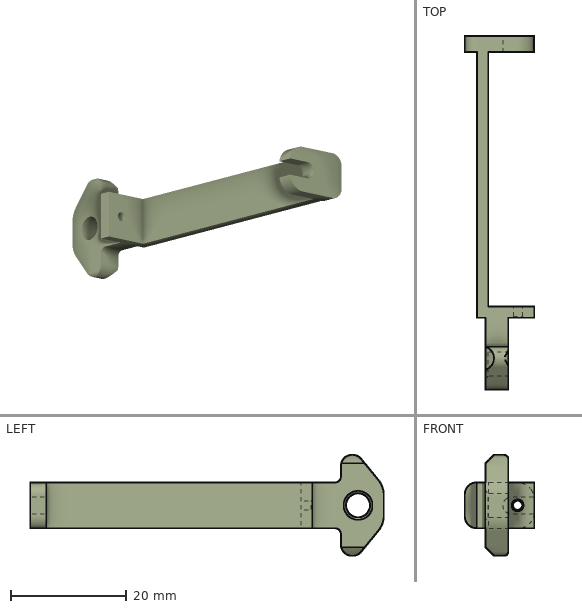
import cadquery as cq
import math

length = 61.5
width = 12.1
height = 8.0

wall = 2.0
hook_reach = 2.1
far_flange = 2.8
hook_radius = hook_reach
prong_radius = 3.0
near_flange_y = 12.5

screw_inset = 2.9
screw_x = width - screw_inset
screw_diameter = 1.57
screw_chamfer = 0.25
slot_width = 2.9
slot_depth = 5.5

head_step = 1.5
head_thickness = 4.0
head_x = hook_reach + head_step
head_height = 17.6
head_depth = 7.5
nose_half_flat = 1.75
nose_radius = 4.2
ear_radius = 2.0
neck_fillet = 1.0
outer_ear_chamfer = 1.5
inner_ear_radius = 0.8
pivot_y = 4.5
pivot_diameter = 4.13
pivot_chamfer = 0.45


def box(x_start, x_end, y_start, y_end, z_half):
    """Box given by its X and Y limits, centred on Z = 0."""
    size_x = x_end - x_start
    size_y = y_end - y_start
    block = cq.Workplane("XY").box(size_x, size_y, 2 * z_half, centered=(False, False, True))
    return block.translate((x_start, y_start, 0))


def make_far_flange():
    """Rounded end plate with a round-ended slot open toward +X."""
    y_start = length - far_flange
    plate = box(0, width, y_start, length, height / 2)
    plate = plate.edges("|Y and <X").fillet(hook_radius)
    plate = plate.edges("|Y and >X").fillet(prong_radius)
    slot_end_x = width - slot_depth + slot_width / 2
    slot = box(slot_end_x, width, y_start, length, slot_width / 2)
    slot_end = (
        cq.Workplane("XZ", origin=(slot_end_x, length, 0))
        .circle(slot_width / 2)
        .extrude(far_flange)
    )
    return plate.cut(slot).cut(slot_end)


def make_near_flange():
    """Square plate with a chamfered screw hole along Y."""
    plate = box(hook_reach, width, near_flange_y, near_flange_y + wall, height / 2)
    hole = (
        cq.Workplane("XZ", origin=(screw_x, near_flange_y + wall, 0))
        .circle(screw_diameter / 2)
        .extrude(wall)
    )
    plate = plate.cut(hole)
    return plate.faces("<Y").edges("%CIRCLE").chamfer(screw_chamfer)


def head_outline():
    """Closed head profile in the YZ plane, with the neck running to the near flange."""
    ear_y = head_depth - ear_radius
    ear_z = head_height / 2 - ear_radius

    center_dy = ear_y - nose_radius
    center_dz = ear_z - nose_half_flat
    center_distance = math.hypot(center_dy, center_dz)
    slope = math.asin((nose_radius - ear_radius) / center_distance) + math.atan2(center_dy, center_dz)

    def nose_point(angle):
        y = nose_radius * (1 - math.cos(angle))
        return (y, nose_half_flat + nose_radius * math.sin(angle))

    def ear_point(angle):
        return (ear_y - ear_radius * math.cos(angle), ear_z + ear_radius * math.sin(angle))

    def mirrored(point):
        return (point[0], -point[1])

    ear_middle = ear_point((slope + math.pi) / 2)
    ear_back = ear_point(math.pi)
    neck_corner = (head_depth, height / 2)
    neck_end = (near_flange_y, height / 2)

    return (
        cq.Workplane("YZ", origin=(head_x, 0, 0))
        .moveTo(*mirrored(nose_point(0)))
        .lineTo(*nose_point(0))
        .threePointArc(nose_point(slope / 2), nose_point(slope))
        .lineTo(*ear_point(slope))
        .threePointArc(ear_middle, ear_back)
        .lineTo(*neck_corner)
        .lineTo(*neck_end)
        .lineTo(*mirrored(neck_end))
        .lineTo(*mirrored(neck_corner))
        .lineTo(*mirrored(ear_back))
        .threePointArc(mirrored(ear_middle), mirrored(ear_point(slope)))
        .lineTo(*mirrored(nose_point(slope)))
        .threePointArc(mirrored(nose_point(slope / 2)), mirrored(nose_point(0)))
        .close()
    )


def make_head():
    """Eared head with its neck, trimmed ears and pivot hole."""
    head = head_outline().extrude(head_thickness)
    neck_corners = cq.selectors.BoxSelector(
        (head_x, head_depth - neck_fillet, -height / 2 - neck_fillet),
        (head_x + head_thickness, head_depth + neck_fillet, height / 2 + neck_fillet),
    )
    head = head.edges("|X").edges(neck_corners).fillet(neck_fillet)

    trim = box(head_x, head_x + head_thickness, 0, near_flange_y, head_height / 2)
    trim = trim.edges("|Y and <X").chamfer(outer_ear_chamfer)
    trim = trim.edges("|Y and >X").fillet(inner_ear_radius)
    head = head.intersect(trim)

    pivot = (
        cq.Workplane("YZ", origin=(head_x, 0, 0))
        .center(pivot_y, 0)
        .circle(pivot_diameter / 2)
        .extrude(head_thickness)
    )
    head = head.cut(pivot)
    pivot_radius = pivot_diameter / 2
    pivot_area = cq.selectors.BoxSelector(
        (head_x - pivot_chamfer, pivot_y - pivot_radius, -pivot_radius),
        (head_x + pivot_chamfer, pivot_y + pivot_radius, pivot_radius),
    )
    return head.edges("%CIRCLE").edges(pivot_area).chamfer(pivot_chamfer)


web = box(hook_reach, hook_reach + wall, near_flange_y, length, height / 2)
result = web.union(make_far_flange()).union(make_near_flange()).union(make_head())